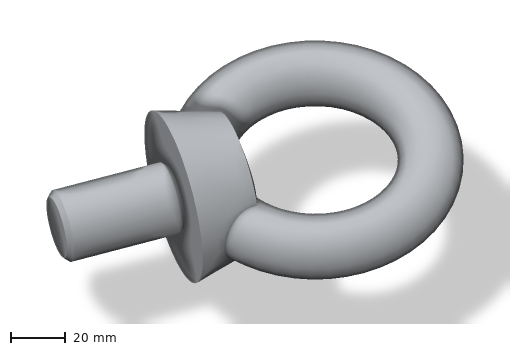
import cadquery as cq
import math

total_length = 153.5
ring_outer_radius = 107.9 / 2
ring_tube_radius = 12.0
ring_mid_radius = ring_outer_radius - ring_tube_radius
ring_hole_radius = ring_mid_radius - ring_tube_radius

collar_base_radius = 65.0 / 2
collar_height = 24.1
collar_angle = math.radians(15)
collar_rim_radius = collar_base_radius - collar_height * math.tan(collar_angle)
crown_height = collar_rim_radius * math.tan(collar_angle)

shank_length = 45.0
shank_radius = 27.0 / 2
tip_chamfer = 2.0
neck_radius = 12.1
neck_length = 1.7

tip_y = ring_outer_radius - total_length
base_y = tip_y + shank_length
rim_y = base_y + collar_height


def make_ring():
    return (
        cq.Workplane("XZ")
        .center(ring_mid_radius, 0)
        .circle(ring_tube_radius)
        .revolve(360, (-ring_mid_radius, 0), (-ring_mid_radius, 1))
        .rotate((0, 0, 0), (0, 0, 1), -90)
    )


def make_collar():
    """Tapered collar with a conical crown, cleared where it enters the eye."""
    collar = (
        cq.Workplane("XY")
        .moveTo(0, base_y)
        .lineTo(collar_base_radius, base_y)
        .lineTo(collar_rim_radius, rim_y)
        .lineTo(0, rim_y + crown_height)
        .close()
        .revolve(360, (0, 0), (0, 1))
    )
    eye = cq.Workplane("XY").circle(ring_hole_radius).extrude(collar_base_radius, both=True)
    return collar.cut(eye)


def make_shank():
    """Plain shank with a chamfered tip and a neck tapering in to the collar."""
    neck_y = base_y - neck_length
    return (
        cq.Workplane("XY")
        .moveTo(0, tip_y)
        .lineTo(shank_radius - tip_chamfer, tip_y)
        .lineTo(shank_radius, tip_y + tip_chamfer)
        .lineTo(shank_radius, neck_y)
        .lineTo(neck_radius, base_y)
        .lineTo(0, base_y)
        .close()
        .revolve(360, (0, 0), (0, 1))
    )


result = make_collar().union(make_shank()).union(make_ring())